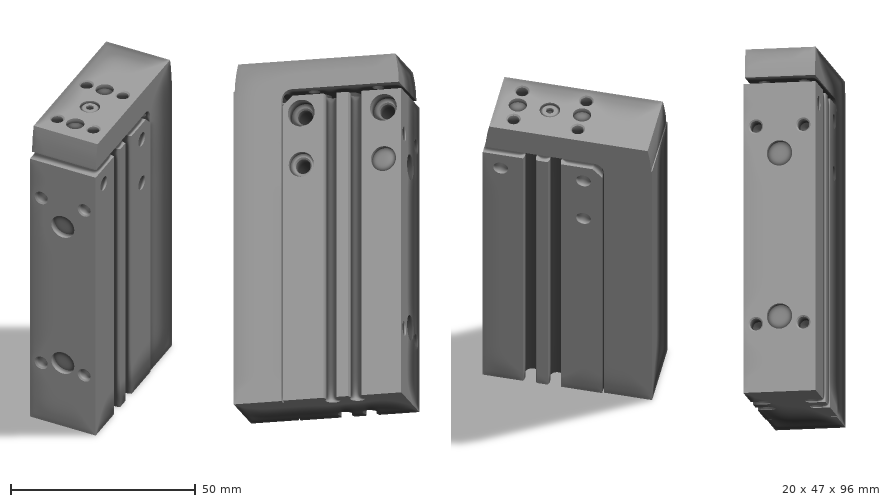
import cadquery as cq
import math

HEIGHT = 96.0
DEPTH = 47.0

HOUSING_WIDTH = 20.0
HOUSING_TOP = 86.0
HOUSING_BACK = 33.2
BACK_CHAMFER = 2.7

TABLE_WIDTH = 19.4
WALL_FRONT = 33.6
PLATE_BOTTOM = 87.9
PLATE_FRONT = 0.8
END_BOTTOM = 88.3
BACK_LEDGE = 0.3
END_LEAN = 1.0
END_BULGE = 0.2
INNER_RADIUS = 2.9

RAIL_HALF_WIDTH = 8.4
RAIL_PROTRUSION = 1.1
RAIL_TOP = 84.7
RECESS_TOP = 87.5
RECESS_DEPTH = 0.8
RECESS_CORNER_RADIUS = 1.4

PISTON_ROD_DIAMETER = 5.6
PISTON_ROD_Y = 16.5
PISTON_ROD_LENGTH = 9.6
STOPPER_DIAMETER = 6.0
STOPPER_Y = 25.0
STOPPER_GAP = 0.4

STUD_BORE_DIAMETER = 5.6
STUD_BORE_DEPTH = 1.0
STUD_DIAMETER = 4.8
STUD_TIP_DIAMETER = 4.1
STUD_CHAMFER = (STUD_DIAMETER - STUD_TIP_DIAMETER) / 2
STUD_DROP = 0.3
SOCKET_FLATS = 2.0
SOCKET_DEPTH = 1.4

THREAD_DIAMETER = 3.3
THREAD_MOUTH_DIAMETER = 4.0
THREAD_CHAMFER = (THREAD_MOUTH_DIAMETER - THREAD_DIAMETER) / 2
DRILL_TIP_ANGLE = 118.0

TOP_THREAD_X = 5.5
TOP_ROW_OFFSET = 8.9
TOP_DOWEL_DIAMETER = 5.0
TOP_DOWEL_DEPTH = 1.4

FRONT_THREAD_X = 6.5
FRONT_THREAD_Z = (19.0, 74.0)
FRONT_THREAD_DEPTH = 4.8
FRONT_DOWEL_Z = (21.0, 66.4)
FRONT_DOWEL_DIAMETER = 7.0
FRONT_DOWEL_DEPTH = 1.9

SIDE_FRONT_Y = 5.0
SIDE_BACK_Y = 28.0
SIDE_UPPER_Z = 80.9
SIDE_LOWER_Z = 66.4
SIDE_HOLE_DIAMETER = 4.1
SIDE_HOLE_MOUTH_DIAMETER = 5.0
SIDE_HOLE_CHAMFER = (SIDE_HOLE_MOUTH_DIAMETER - SIDE_HOLE_DIAMETER) / 2
SIDE_COUNTERBORE_DIAMETER = 7.5
SIDE_COUNTERBORE_DEPTH = 4.3
SIDE_DOWEL_DIAMETER = 7.0
SIDE_DOWEL_DEPTH = 1.9

GROOVE_Y = (13.1, 20.0)
GROOVE_DIAMETER = 4.0
GROOVE_MOUTH_WIDTH = 3.7
GROOVE_THROAT_WIDTH = 3.1
GROOVE_MOUTH_DEPTH = 1.0
GROOVE_LIP_DEPTH = 1.9


def cylinder(start, direction, diameter, length):
    return cq.Workplane(cq.Solid.makeCylinder(diameter / 2, length, cq.Vector(*start), cq.Vector(*direction)))


def cone(start, direction, start_diameter, end_diameter, length):
    return cq.Workplane(cq.Solid.makeCone(
        start_diameter / 2, end_diameter / 2, length, cq.Vector(*start), cq.Vector(*direction)))


def threaded_hole(start, direction, depth):
    """Straight hole with a chamfered mouth."""
    mouth = cone(start, direction, THREAD_MOUTH_DIAMETER, THREAD_DIAMETER, THREAD_CHAMFER)
    return cylinder(start, direction, THREAD_DIAMETER, depth).union(mouth)


def rail(top):
    """Rail with 45-degree flanks, rooted at the floor of the wall recess."""
    crest_half_width = RAIL_HALF_WIDTH - RAIL_PROTRUSION
    crest_y = WALL_FRONT - RAIL_PROTRUSION
    root_y = WALL_FRONT + RECESS_DEPTH
    return (
        cq.Workplane("XY")
        .polyline([
            (-RAIL_HALF_WIDTH, root_y),
            (-RAIL_HALF_WIDTH, WALL_FRONT),
            (-crest_half_width, crest_y),
            (crest_half_width, crest_y),
            (RAIL_HALF_WIDTH, WALL_FRONT),
            (RAIL_HALF_WIDTH, root_y),
        ])
        .close()
        .extrude(top)
    )


def table_blank():
    """L-shaped side outline with slightly bowed plate ends."""
    end_back = DEPTH - BACK_LEDGE
    middle_z = (HEIGHT + END_BOTTOM) / 2
    middle_lean = END_LEAN / 2 - END_BULGE
    return (
        cq.Workplane("YZ")
        .moveTo(WALL_FRONT, 0)
        .lineTo(DEPTH, 0)
        .lineTo(DEPTH, END_BOTTOM)
        .lineTo(end_back, END_BOTTOM)
        .threePointArc((end_back - middle_lean, middle_z), (end_back - END_LEAN, HEIGHT))
        .lineTo(PLATE_FRONT + END_LEAN, HEIGHT)
        .threePointArc((PLATE_FRONT + middle_lean, middle_z), (PLATE_FRONT, END_BOTTOM))
        .lineTo(PLATE_FRONT, PLATE_BOTTOM)
        .lineTo(WALL_FRONT - INNER_RADIUS, PLATE_BOTTOM)
        .radiusArc((WALL_FRONT, PLATE_BOTTOM - INNER_RADIUS), INNER_RADIUS)
        .close()
        .extrude(TABLE_WIDTH / 2, both=True)
    )


def wall_recess():
    """Round-cornered pocket in the wall that holds the rail."""
    return (
        cq.Workplane("XY")
        .box(2 * RAIL_HALF_WIDTH, INNER_RADIUS + RECESS_DEPTH, RECESS_TOP, centered=(True, False, False))
        .edges("|Y and >Z")
        .fillet(RECESS_CORNER_RADIUS)
        .translate((0, WALL_FRONT - INNER_RADIUS, 0))
    )


def stud_recess():
    """Ring around the chamfered stud end, with its hexagon socket."""
    top = (0, PISTON_ROD_Y, HEIGHT)
    bore = cylinder(top, (0, 0, -1), STUD_BORE_DIAMETER, STUD_BORE_DEPTH)
    stud = (
        cq.Workplane("XY", origin=(0, PISTON_ROD_Y, HEIGHT - STUD_BORE_DEPTH))
        .circle(STUD_DIAMETER / 2)
        .extrude(STUD_BORE_DEPTH - STUD_DROP)
        .faces(">Z")
        .chamfer(STUD_CHAMFER)
    )
    socket = (
        cq.Workplane("XY", origin=top)
        .transformed(rotate=(0, 0, 90))
        .polygon(6, SOCKET_FLATS, circumscribed=True)
        .extrude(-SOCKET_DEPTH)
    )
    return bore.cut(stud).union(socket)


def make_table():
    down = (0, 0, -1)
    plate_thickness = HEIGHT - PLATE_BOTTOM
    stopper_length = PLATE_BOTTOM - HOUSING_TOP - STOPPER_GAP
    table = table_blank().cut(wall_recess()).union(rail(RAIL_TOP))
    table = table.union(cylinder((0, PISTON_ROD_Y, PLATE_BOTTOM), down, PISTON_ROD_DIAMETER, PISTON_ROD_LENGTH))
    table = table.union(cylinder((0, STOPPER_Y, PLATE_BOTTOM), down, STOPPER_DIAMETER, stopper_length))
    table = table.cut(stud_recess())
    for row_y in (PISTON_ROD_Y - TOP_ROW_OFFSET, PISTON_ROD_Y + TOP_ROW_OFFSET):
        table = table.cut(cylinder((0, row_y, HEIGHT), down, TOP_DOWEL_DIAMETER, TOP_DOWEL_DEPTH))
        for x in (-TOP_THREAD_X, TOP_THREAD_X):
            table = table.cut(threaded_hole((x, row_y, HEIGHT), down, plate_thickness))
    return table


def sensor_groove(side, y):
    """Round slot behind a tapered mouth on the -X (side=-1) or +X (side=1) face."""
    face = side * HOUSING_WIDTH / 2
    radius = GROOVE_DIAMETER / 2
    mouth = GROOVE_MOUTH_WIDTH / 2
    throat = GROOVE_THROAT_WIDTH / 2
    center_depth = GROOVE_LIP_DEPTH + math.sqrt(radius ** 2 - throat ** 2)
    throat_x = face - side * GROOVE_MOUTH_DEPTH
    lip_x = face - side * GROOVE_LIP_DEPTH
    bottom_x = face - side * (center_depth + radius)
    return (
        cq.Workplane("XY")
        .moveTo(face, y - mouth)
        .lineTo(throat_x, y - throat)
        .lineTo(lip_x, y - throat)
        .threePointArc((bottom_x, y), (lip_x, y + throat))
        .lineTo(throat_x, y + throat)
        .lineTo(face, y + mouth)
        .close()
        .extrude(HOUSING_TOP)
    )


def side_through_hole(y, z, pocket_diameter, pocket_depth):
    """Hole across the housing with a wide pocket on the -X side."""
    across = (1, 0, 0)
    face = -HOUSING_WIDTH / 2
    floor = (face + pocket_depth, y, z)
    pocket = cylinder((face, y, z), across, pocket_diameter, pocket_depth)
    mouth = cone(floor, across, SIDE_HOLE_MOUTH_DIAMETER, SIDE_HOLE_DIAMETER, SIDE_HOLE_CHAMFER)
    hole = cylinder((face, y, z), across, SIDE_HOLE_DIAMETER, HOUSING_WIDTH)
    return pocket.union(mouth).union(hole)


def front_threaded_hole(x, z):
    """Blind threaded hole that ends in a drill tip."""
    inward = (0, 1, 0)
    tip_length = THREAD_DIAMETER / 2 / math.tan(math.radians(DRILL_TIP_ANGLE / 2))
    tip = cone((x, FRONT_THREAD_DEPTH, z), inward, THREAD_DIAMETER, 0, tip_length)
    return threaded_hole((x, 0, z), inward, FRONT_THREAD_DEPTH).union(tip)


def make_housing():
    housing = (
        cq.Workplane("XY")
        .box(HOUSING_WIDTH, HOUSING_BACK, HOUSING_TOP, centered=(True, False, False))
        .edges(">Y and >Z")
        .chamfer(BACK_CHAMFER)
    )
    housing = housing.cut(rail(HOUSING_TOP))
    housing = housing.cut(
        cylinder((0, PISTON_ROD_Y, PLATE_BOTTOM), (0, 0, -1), PISTON_ROD_DIAMETER, PISTON_ROD_LENGTH))
    for side in (-1, 1):
        for y in GROOVE_Y:
            housing = housing.cut(sensor_groove(side, y))
    for y in (SIDE_FRONT_Y, SIDE_BACK_Y):
        housing = housing.cut(
            side_through_hole(y, SIDE_UPPER_Z, SIDE_COUNTERBORE_DIAMETER, SIDE_COUNTERBORE_DEPTH))
    housing = housing.cut(side_through_hole(SIDE_BACK_Y, SIDE_LOWER_Z, SIDE_DOWEL_DIAMETER, SIDE_DOWEL_DEPTH))
    housing = housing.cut(cylinder(
        (-HOUSING_WIDTH / 2, SIDE_FRONT_Y, SIDE_LOWER_Z), (1, 0, 0), SIDE_DOWEL_DIAMETER, SIDE_DOWEL_DEPTH))
    for z in FRONT_THREAD_Z:
        for x in (-FRONT_THREAD_X, FRONT_THREAD_X):
            housing = housing.cut(front_threaded_hole(x, z))
    for z in FRONT_DOWEL_Z:
        housing = housing.cut(cylinder((0, 0, z), (0, 1, 0), FRONT_DOWEL_DIAMETER, FRONT_DOWEL_DEPTH))
    return housing


table = make_table()
housing = make_housing()
result = cq.Compound.makeCompound([table.val(), housing.val()])